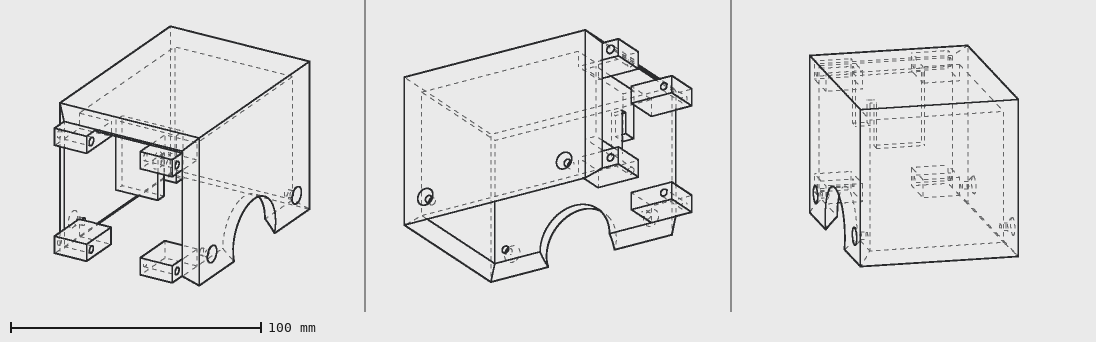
import cadquery as cq

WIDTH = 65.0
BODY_LENGTH = 90.5
TOTAL_LENGTH = 98.04
WALL = 5.0
CEILING_EXTRA = 0.8

HALF = WIDTH / 2
INNER = HALF - WALL
FRONT = -TOTAL_LENGTH / 2
MOUTH = TOTAL_LENGTH / 2 - BODY_LENGTH
SHOULDER = MOUTH + WALL
BACK = MOUTH + BODY_LENGTH
CEILING = INNER - CEILING_EXTRA

LUG_WIDTH = 15.0
LUG_HEIGHT = 7.5
LUG_OVERHANG = MOUTH - FRONT
LUG_LENGTH = 19.1
LUG_HOLE_DIAMETER = 3.0
LARGE_LUG_HOLE_DIAMETER = 3.5

SCREW_INSET = 10.0
SCREW_DIAMETER = 3.0
SCREW_HEAD_DIAMETER = 7.2
SCREW_HEAD_ANGLE = 82.0
SCREW_HEIGHT = 5.0
SCREW_Z = SCREW_HEIGHT - INNER

BRACKET_SETBACK = 13.25
BRACKET_FRONT = MOUTH + BRACKET_SETBACK
BRACKET_DEPTH = 5.0
BRACKET_LEFT = -11.5
PANEL_RIGHT = 8.2
PANEL_BOTTOM = -4.0
HOOK_LEFT = 11.0
HOOK_RIGHT = 16.85
HOOK_BOTTOM = 5.7
NOTCH_TOP = 14.9

CABLE_NOTCH_RADIUS = 16.4


def span_box(x0, x1, y0, y1, z0, z1):
    """A box between two opposite corners."""
    return cq.Workplane("XY").box(x1 - x0, y1 - y0, z1 - z0, centered=False).translate((x0, y0, z0))


def make_shell():
    """Box with a chamfered front mouth and a hollow inside."""
    outer = span_box(-HALF, HALF, MOUTH, BACK, -HALF, HALF)
    outer = outer.faces("<Y").chamfer(WALL)
    cavity = span_box(-INNER, INNER, MOUTH, BACK - WALL, -INNER, CEILING)
    return outer.cut(cavity)


def make_floor_opening():
    """Mitred void of the missing floor: it widens downwards at 45 degrees at the sides and the back.

    It starts ahead of the mouth, so that it also takes away the lower lip.
    """
    y_centre = (MOUTH + BACK) / 2 - WALL
    return (
        cq.Workplane("XY", origin=(0, y_centre, -INNER))
        .rect(2 * INNER, BODY_LENGTH)
        .workplane(offset=-WALL)
        .rect(WIDTH, BODY_LENGTH + 2 * WALL)
        .loft(ruled=True)
    )


def make_lug(side, z_bottom, hole_diameter):
    """Drilled lug against a side wall (side is -1 or +1), standing out of the mouth."""
    x_wall = side * INNER
    x_free = side * (INNER - LUG_WIDTH)
    x0 = min(x_wall, x_free)
    x1 = max(x_wall, x_free)
    lug = span_box(x0, x1, FRONT, FRONT + LUG_LENGTH, z_bottom, z_bottom + LUG_HEIGHT)
    hole = (
        cq.Workplane("YZ", origin=(x0, FRONT + LUG_OVERHANG / 2, z_bottom + LUG_HEIGHT / 2))
        .circle(hole_diameter / 2)
        .extrude(LUG_WIDTH)
    )
    return lug.cut(hole)


def make_bracket():
    """Panel with a shorter hook beside it, hanging from the ceiling."""
    outline = [
        (BRACKET_LEFT, CEILING),
        (BRACKET_LEFT, PANEL_BOTTOM),
        (PANEL_RIGHT, PANEL_BOTTOM),
        (PANEL_RIGHT, NOTCH_TOP),
        (HOOK_LEFT, NOTCH_TOP),
        (HOOK_LEFT, HOOK_BOTTOM),
        (HOOK_RIGHT, HOOK_BOTTOM),
        (HOOK_RIGHT, CEILING),
    ]
    return (
        cq.Workplane("XZ", origin=(0, BRACKET_FRONT, 0))
        .polyline(outline)
        .close()
        .extrude(-BRACKET_DEPTH)
    )


def drill_side_screws(body):
    """Two countersunk screw holes low in each side wall."""
    places = [(SHOULDER + SCREW_INSET, SCREW_Z), (BACK - SCREW_INSET, SCREW_Z)]
    for side in (-1, 1):
        for y, z in places:
            wall = cq.Plane(origin=(side * HALF, y, z), xDir=(0, 1, 0), normal=(side, 0, 0))
            body = body.copyWorkplane(cq.Workplane(wall)).cskHole(
                SCREW_DIAMETER, SCREW_HEAD_DIAMETER, SCREW_HEAD_ANGLE, depth=WALL
            )
    return body


def make_cable_notch():
    """Half-round notch through the +X wall, midway between the screws."""
    return (
        cq.Workplane("YZ", origin=(INNER, (SHOULDER + BACK) / 2, -INNER))
        .circle(CABLE_NOTCH_RADIUS)
        .extrude(WALL)
    )


result = make_shell().cut(make_floor_opening()).cut(make_cable_notch())
result = drill_side_screws(result)
result = result.union(make_bracket())
for lug_side, lug_bottom, lug_hole in (
    (-1, -INNER, LUG_HOLE_DIAMETER),
    (1, -INNER, LUG_HOLE_DIAMETER),
    (-1, INNER - LUG_HEIGHT, LARGE_LUG_HOLE_DIAMETER),
    (1, CEILING - LUG_HEIGHT, LUG_HOLE_DIAMETER),
):
    result = result.union(make_lug(lug_side, lug_bottom, lug_hole))